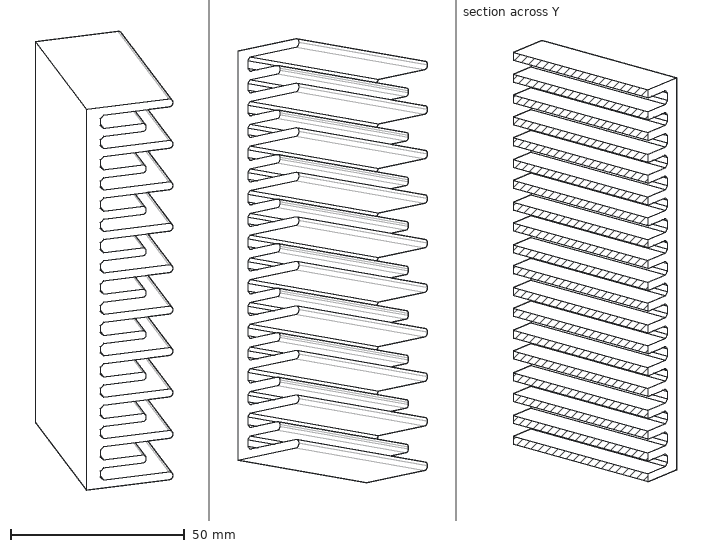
import cadquery as cq

width = 50.0
depth = 26.0
height = 120.0

base_thickness = 4.2
fin_thickness = 2.5
short_fin_drop = 0.17
short_fin_depth = 17.9
long_fin_count = 10
long_tip_radius = 0.99 * fin_thickness / 2
short_tip_radius = 1.0
root_chamfer = 1.0

long_fin_pitch = (height - fin_thickness) / (long_fin_count - 1)
fin_pitch = long_fin_pitch / 2
fin_count = 2 * long_fin_count - 1


def plate(plate_depth, thickness, bottom):
    """Full-width plate whose rear face lies on the plane Y = 0."""
    block = cq.Workplane("XY").box(width, plate_depth, thickness, centered=(True, False, False))
    return block.translate((0, 0, bottom))


def fin(fin_depth, tip_radius, bottom):
    """Horizontal fin whose tip is fin_depth from the rear plane, with a rounded tip."""
    return plate(fin_depth, fin_thickness, bottom).edges("|X and >Y").fillet(tip_radius)


heat_sink = plate(base_thickness, height, 0)

for index in range(fin_count):
    fin_bottom = index * fin_pitch
    if index % 2 == 0:
        new_fin = fin(depth, long_tip_radius, fin_bottom)
    else:
        new_fin = fin(short_fin_depth, short_tip_radius, fin_bottom - short_fin_drop)
    heat_sink = heat_sink.union(new_fin)

root_margin = 0.1
root_zone = cq.selectors.BoxSelector(
    (-width, base_thickness - root_margin, root_margin),
    (width, base_thickness + root_margin, height - root_margin),
)
heat_sink = heat_sink.clean().edges("|X").edges(root_zone).chamfer(root_chamfer)

result = heat_sink.translate((0, -depth / 2, -height / 2))